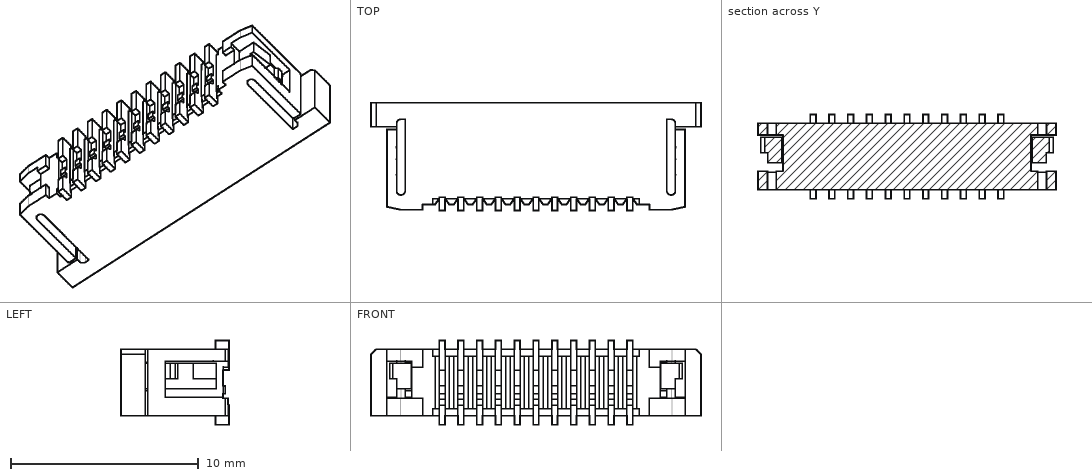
import cadquery as cq


flange_length = 17.6
total_depth = 5.75
body_height = 3.55
half_height = body_height / 2
flange_front = 4.45
flange_chamfer = 0.28
body_half_length = 7.94
core_front = 0.32
comb_half_length = 5.5
comb_front = 0.63

ear_front = 0.044
ear_corner_front = 0.2
ear_bevel_length = 0.7
ear_inner_x = 6.04
ear_height = 0.95
ear_half_gap = half_height - ear_height

slot_inner_x = 6.97
slot_outer_x = 7.43
slot_front = 0.83
slot_rear = 4.85
slot_corner_radius = 0.21
arm_rear = 4.33

window_inner_x = 6.62
window_rear = 3.4
window_top = 1.15
window_bottom = -0.77
pocket_rear = 4.93
pocket_top = 1.1
pocket_bottom = -0.44

block_inner_x = 6.65
block_front = 0.69
block_top = 1.04
block_bottom = -0.33
barb_bottom = 0.2
barb_front_x = 7.64
barb_rear_x = 7.8
barb_rear = 1.92
bump_outer_x = 7.59
bump_start = 2.73
bump_flat_start = 2.85
bump_flat_end = 3.13

terminal_count = 11
terminal_span = 10.0
terminal_pitch = terminal_span / (terminal_count - 1)
terminal_width = 0.32
terminal_height = 4.5
terminal_rear = 0.72
notch_top = 0.67
notch_depth = 0.33
beam_front = 0.2
beam_top = -0.18
beam_bottom = -0.6
ramp_top = -0.88
ramp_bottom = -1.2

rib_height = 2.82
rib_front_width = 0.25


def box(x_range, y_range, z_range):
    """Box spanning the given (low, high) pairs along X, Y and Z."""
    spans = (x_range, y_range, z_range)
    sizes = [high - low for low, high in spans]
    corner = tuple(low for low, high in spans)
    return cq.Workplane("XY").box(*sizes, centered=False).translate(corner)


def prism(points, z_range):
    """Upright prism over a closed plan outline."""
    low, high = z_range
    return cq.Workplane("XY").workplane(offset=low).polyline(points).close().extrude(high - low)


def both_ends(shape):
    """The shape on the -X end together with its mirror image on the +X end."""
    return shape.union(shape.mirror("YZ"))


full_height = (-half_height, half_height)


def make_flange():
    half_length = flange_length / 2
    flange = box((-half_length, half_length), (flange_front, total_depth), full_height)
    return flange.edges(">Z and |Y").chamfer(flange_chamfer)


def make_body():
    """Core and arms as one block, with the front set back along the terminal comb."""
    bevel_end_x = body_half_length - ear_bevel_length
    half_outline = [
        (-body_half_length, flange_front),
        (-body_half_length, ear_corner_front),
        (-bevel_end_x, ear_front),
        (-ear_inner_x, ear_front),
        (-ear_inner_x, core_front),
        (-comb_half_length, core_front),
        (-comb_half_length, comb_front),
    ]
    mirrored = [(-x, y) for x, y in reversed(half_outline)]
    body = prism(half_outline + mirrored, full_height)
    return body.cut(
        box(
            (-body_half_length, body_half_length),
            (ear_front, core_front),
            (-ear_half_gap, ear_half_gap),
        )
    )


def make_comb_wall():
    """Wall between the terminals: flat-topped ribs whose flanks fall back to the terminals."""
    half_rib = rib_front_width / 2
    half_base = (terminal_pitch - terminal_width) / 2
    rib_z = (-rib_height / 2, rib_height / 2)
    rib_outline = [
        (-half_base, comb_front),
        (-half_rib, core_front),
        (half_rib, core_front),
        (half_base, comb_front),
    ]
    rib = prism(rib_outline, rib_z)
    first_x = -(terminal_span - terminal_pitch) / 2
    end_flat_x = first_x - terminal_pitch + half_rib
    end_base_x = first_x - terminal_pitch + half_base
    wall = both_ends(
        prism(
            [
                (-comb_half_length, comb_front),
                (-comb_half_length, core_front),
                (end_flat_x, core_front),
                (end_base_x, comb_front),
            ],
            rib_z,
        )
    )
    for index in range(terminal_count - 1):
        wall = wall.union(rib.translate((first_x + index * terminal_pitch, 0, 0)))
    return wall


def make_arm_slot():
    """Slot along the arm: round front end, one rounded rear corner, gap to the outside."""
    radius = (slot_outer_x - slot_inner_x) / 2
    slot = box(
        (-slot_outer_x, -slot_inner_x), (slot_front + radius, slot_rear), full_height
    )
    slot = slot.edges("<X and >Y").fillet(slot_corner_radius)
    round_end = (
        cq.Workplane("XY")
        .workplane(offset=-half_height)
        .center(-(slot_outer_x + slot_inner_x) / 2, slot_front + radius)
        .circle(radius)
        .extrude(body_height)
    )
    gap = box((-body_half_length, -slot_inner_x), (arm_rear, flange_front), full_height)
    return slot.union(round_end).union(gap)


def make_window():
    """Window with its rear pocket and a shallow floor channel running forward from the slot."""
    window = box(
        (-body_half_length, -window_inner_x), (0, window_rear), (window_bottom, window_top)
    )
    pocket = box(
        (-slot_inner_x, -window_inner_x), (window_rear, pocket_rear), (pocket_bottom, pocket_top)
    )
    channel = box(
        (-slot_outer_x, -slot_inner_x), (core_front, window_rear), (-ear_half_gap, window_bottom)
    )
    return window.union(pocket).union(channel)


def make_hold_down():
    """Block in the inner part of the window, with a barb and a small bump on its outer side."""
    block = box(
        (-slot_outer_x, -block_inner_x), (block_front, pocket_rear), (block_bottom, block_top)
    )
    barb_z = (barb_bottom, block_top)
    barb = prism(
        [
            (-slot_outer_x, block_front),
            (-barb_front_x, block_front),
            (-barb_rear_x, barb_rear),
            (-slot_outer_x, barb_rear),
        ],
        barb_z,
    )
    bump = prism(
        [
            (-slot_outer_x, bump_start),
            (-bump_outer_x, bump_flat_start),
            (-bump_outer_x, bump_flat_end),
            (-slot_outer_x, window_rear),
        ],
        barb_z,
    )
    return block.union(barb).union(bump)


def make_terminal():
    """Upright terminal with a notched front edge, centred on X = 0."""
    half_terminal = terminal_height / 2
    side_outline = [
        (0, half_terminal),
        (terminal_rear, half_terminal),
        (terminal_rear, -half_terminal),
        (0, -half_terminal),
        (0, ramp_bottom),
        (notch_depth, ramp_top),
        (notch_depth, beam_bottom),
        (beam_front, beam_bottom),
        (beam_front, beam_top),
        (notch_depth, beam_top),
        (notch_depth, notch_top),
        (0, notch_top),
    ]
    return (
        cq.Workplane("YZ")
        .polyline(side_outline)
        .close()
        .extrude(terminal_width / 2, both=True)
    )


housing = make_body().union(make_flange()).union(make_comb_wall())
housing = housing.cut(both_ends(make_arm_slot())).cut(both_ends(make_window()))
result = housing.union(both_ends(make_hold_down()))

terminal = make_terminal()
for index in range(terminal_count):
    terminal_x = -terminal_span / 2 + index * terminal_pitch
    result = result.union(terminal.translate((terminal_x, 0, 0)))